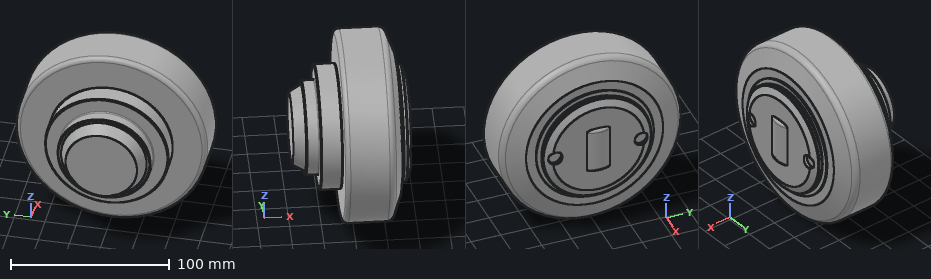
import cadquery as cq
import math

collar_start = 7.7
flange_start = 16.2
wheel_start = 30.0
wheel_end = 66.9
inner_ring_end = 67.9
cap_start = 68.4
cap_taper_start = 71.5
cap_end = 73.8
side_roller_crest = 75.8

pin_tip_radius = 23.0
pin_base_radius = 27.5
collar_radius = 29.9
flange_radius = 39.7
wheel_radius = 61.5
wheel_taper_end_radius = 46.4
cap_radius = 36.9
cap_end_radius = 31.0
cap_groove_radius = 36.3

small_chamfer = 0.6
collar_root_fillet = 0.6
wheel_back_fillet = 3.1
wheel_front_fillet = 4.7
wheel_taper_angle = math.radians(69)

side_roller_radius = 16.7
side_roller_length = 32.2
side_roller_fillet = 2.2

screw_hole_radius = 4.5
screw_hole_offset = 29.0
screw_hole_depth = 2.5


def make_pin_and_flange():
    """Tapered pin, collar and mounting flange, ending inside the wheel."""
    return (
        cq.Workplane("XY")
        .lineTo(0, pin_tip_radius)
        .lineTo(collar_start, pin_base_radius)
        .lineTo(collar_start, collar_radius - small_chamfer)
        .lineTo(collar_start + small_chamfer, collar_radius)
        .lineTo(flange_start - collar_root_fillet, collar_radius)
        .radiusArc((flange_start, collar_radius + collar_root_fillet), -collar_root_fillet)
        .lineTo(flange_start, flange_radius - small_chamfer)
        .lineTo(flange_start + small_chamfer, flange_radius)
        .lineTo(wheel_start - small_chamfer, flange_radius)
        .lineTo(wheel_start, flange_radius - small_chamfer)
        .lineTo(wheel_start, 0)
        .close()
        .revolve(360, (0, 0, 0), (1, 0, 0))
    )


def make_wheel():
    """Outer wheel with a rounded back edge and a rounded, tapered front edge."""
    taper_start_radius = wheel_radius - wheel_front_fillet * (1 - math.cos(wheel_taper_angle))
    taper_length = (taper_start_radius - wheel_taper_end_radius) / math.tan(wheel_taper_angle)
    taper_start = wheel_end - taper_length
    tread_end = taper_start - wheel_front_fillet * math.sin(wheel_taper_angle)
    half_angle = wheel_taper_angle / 2
    fillet_mid = (
        tread_end + wheel_front_fillet * math.sin(half_angle),
        wheel_radius - wheel_front_fillet * (1 - math.cos(half_angle)),
    )
    return (
        cq.Workplane("XY")
        .moveTo(wheel_start, 0)
        .lineTo(wheel_start, wheel_radius - wheel_back_fillet)
        .radiusArc((wheel_start + wheel_back_fillet, wheel_radius), wheel_back_fillet)
        .lineTo(tread_end, wheel_radius)
        .threePointArc(fillet_mid, (taper_start, taper_start_radius))
        .lineTo(wheel_end, wheel_taper_end_radius)
        .lineTo(wheel_end, 0)
        .close()
        .revolve(360, (0, 0, 0), (1, 0, 0))
    )


def make_end_cap():
    """Inner ring face, narrow groove and tapered end cap."""
    return (
        cq.Workplane("XY")
        .moveTo(wheel_end, 0)
        .lineTo(wheel_end, flange_radius)
        .lineTo(inner_ring_end, flange_radius)
        .lineTo(inner_ring_end, cap_groove_radius)
        .lineTo(cap_start, cap_groove_radius)
        .lineTo(cap_start + small_chamfer, cap_radius)
        .lineTo(cap_taper_start - small_chamfer, cap_radius)
        .lineTo(cap_taper_start, cap_radius - small_chamfer)
        .lineTo(cap_end, cap_end_radius)
        .lineTo(cap_end, 0)
        .close()
        .revolve(360, (0, 0, 0), (1, 0, 0))
    )


def make_side_roller():
    """Cylindrical roller along Z whose crest stands proud of the cap."""
    return (
        cq.Workplane("XY")
        .center(side_roller_crest - side_roller_radius, 0)
        .circle(side_roller_radius)
        .extrude(side_roller_length / 2, both=True)
        .edges("%CIRCLE")
        .fillet(side_roller_fillet)
    )


def make_screw_holes():
    """Pair of shallow holes on either side of the side roller."""
    return (
        cq.Workplane("YZ", origin=(cap_end - screw_hole_depth, 0, 0))
        .pushPoints([(-screw_hole_offset, 0), (screw_hole_offset, 0)])
        .circle(screw_hole_radius)
        .extrude(screw_hole_depth)
    )


bearing_body = make_pin_and_flange().union(make_wheel()).union(make_end_cap())
result = bearing_body.cut(make_screw_holes()).union(make_side_roller())